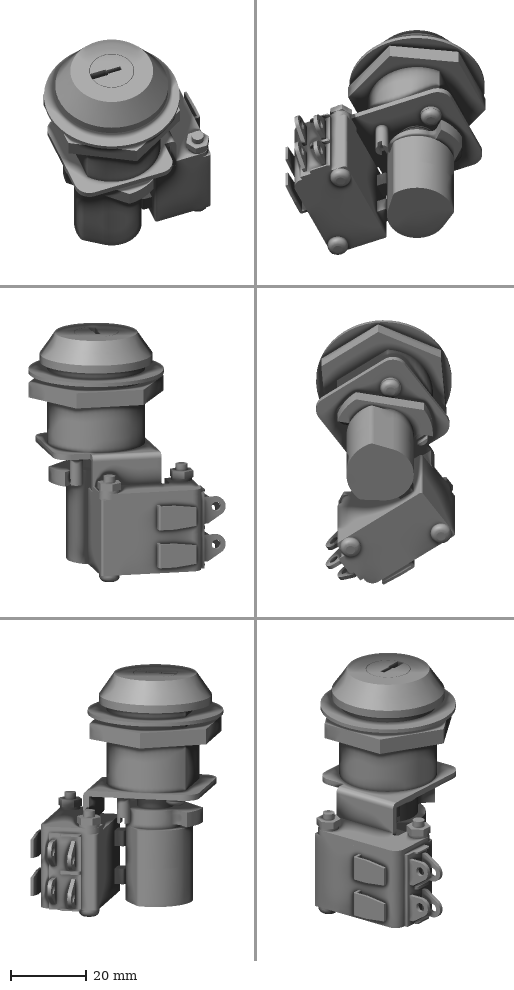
import cadquery as cq
import math


cap_top_z = 62.6
cap_rim_z = 56.8
cap_bottom_z = 54.65
panel_washer_top_z = 52.65
panel_washer_thickness = 1.0
panel_nut_top_z = 49.8
panel_nut_thickness = 4.15
bracket_top_z = 32.6
sheet_thickness = 1.55
bracket_bottom_z = bracket_top_z - sheet_thickness

cap_radius = 15.0
cap_top_radius = 11.0
barrel_radius = 13.0
barrel_flat_offset = 10.1
bore_radius = 5.95

fastener_offset = 7.1
fastener_shank_radius = 1.75
barrel_screw_head_radius = 2.8
barrel_screw_flange_height = 0.75
barrel_screw_dome_radius = 2.7
barrel_screw_dome_height = 1.8
barrel_screw_rounding = 1.45
post_bottom_z = 23.0
post_slit_width = 1.3
post_slit_depth = 1.6

panel_washer_radius = 18.0
panel_nut_corner_radius = 18.4

plug_radius = 5.8
plug_neck_radius = 5.2
plug_tail_radius = 5.0
plug_neck_bottom_z = 30.7
plug_bottom_z = 29.2
driver_radius = 4.9
stop_top_z = 26.6
stop_bottom_z = 22.65
hub_radius = 7.95
stop_arm_radius = 13.0
stop_arm_start = fastener_shank_radius
stop_arm_end = stop_arm_radius / math.sqrt(2)
stop_arm_angle = -45.0
cam_count = 2
cam_height = 10.3
cam_bottom_z = 1.0
cam_top_z = cam_bottom_z + cam_count * cam_height
cam_lobe_radius = 10.0
cam_lobe_angle = 225.0
cam_flank_angle = 98.0
cam_corner_radius = 1.9
key_slot_width = 2.0
key_slot_tip_width = 1.25
key_slot_step_y = -1.4
key_slot_tip_y = 2.6

switch_count = 2
switch_height = 10.3
switch_base_z = 2.05
switch_top_z = switch_base_z + switch_count * switch_height
switch_left_x = -23.0
switch_right_x = 4.8
switch_front_y = 10.65
switch_back_y = 26.55
switch_back_corner_radius = 2.75
switch_front_corner_radius = 1.0
switch_right_corner_radius = 0.6

terminal_block_left_x = -24.0
terminal_block_front_y = 14.85
terminal_block_back_y = 23.5
lip_left_x = -25.05
lip_back_y = 20.5
lip_thickness = 0.45
lip_corner_radius = 0.75

terminal_back_ys = (17.15, 22.6)
terminal_thickness = 1.05
terminal_height = 7.15
terminal_hole_x = -27.5
terminal_hole_radius = 1.25
terminal_end_radius = 2.55
terminal_shoulder_x = -25.15

tab_left_x = -20.55
tab_taper_x = -14.6
tab_right_x = -10.2
tab_back_y = 29.3
tab_thickness = 0.75
tab_bend_radius = 0.6
tab_height = 6.4
tab_end_height = 4.95

plunger_width = 4.2
plunger_tip_y = hub_radius
plunger_tip_rounding = 0.55

switch_screw_points = ((-20.15, 13.45), (2.0, 23.7))
switch_screw_radius = 1.55
switch_screw_top_z = 28.7
switch_screw_head_radius = 2.75
switch_screw_head_rounding = 1.5
switch_nut_flats = 5.65
switch_nut_bottom_z = 25.1
switch_nut_height = 1.9
switch_washer_radius = 2.75

bracket_half_width = 13.95
bracket_front_y = -14.2
bracket_back_y = 16.5
bracket_step_y = 13.15
bracket_corner_radius = 3.95
bend_radius = 1.5
ear_end_x = -16.15
relief_end_y = 17.5
bracket_foot_top_z = switch_top_z + sheet_thickness


def block(x0, x1, y0, y1, z0, z1):
    """Box between two opposite corners."""
    return cq.Workplane("XY").box(x1 - x0, y1 - y0, z1 - z0, centered=False).translate((x0, y0, z0))


def cylinder(radius, z0, z1, x=0.0, y=0.0):
    """Upright cylinder between two heights."""
    return cq.Workplane("XY").circle(radius).extrude(z1 - z0).translate((x, y, z0))


def hexagon(flats, z0, z1):
    """Upright hexagonal prism with two corners on the X axis."""
    return cq.Workplane("XY").polygon(6, flats / math.cos(math.pi / 6)).extrude(z1 - z0).translate((0, 0, z0))


def polar(radius, degrees):
    """Point at a radius and an angle about the lock axis."""
    angle = math.radians(degrees)
    return (radius * math.cos(angle), radius * math.sin(angle))


def flatted_barrel(z0, z1):
    """Round barrel with one flat on its front."""
    flat_waste = block(-barrel_radius, barrel_radius, -barrel_radius, -barrel_flat_offset, z0, z1)
    return cylinder(barrel_radius, z0, z1).cut(flat_waste)


def round_head(radius, z0, z1, rounding):
    """Screw head rounded on its lower edge."""
    return cylinder(radius, z0, z1).faces("<Z").edges().fillet(rounding)


def fastener_points(side):
    """Left and right fastener places, in front of (-1) or behind (+1) the lock axis."""
    return [(-fastener_offset, side * fastener_offset), (fastener_offset, side * fastener_offset)]


def make_housing():
    cap = (
        cq.Workplane("XZ")
        .moveTo(0, cap_bottom_z)
        .lineTo(cap_radius, cap_bottom_z)
        .lineTo(cap_radius, cap_rim_z)
        .lineTo(cap_top_radius, cap_top_z)
        .lineTo(0, cap_top_z)
        .close()
        .revolve(360, (0, 0, 0), (0, 1, 0))
    )
    housing = cap.union(flatted_barrel(bracket_top_z, cap_bottom_z))
    housing = housing.cut(cylinder(bore_radius, bracket_top_z, cap_top_z))

    flange_bottom_z = bracket_bottom_z - barrel_screw_flange_height
    dome_bottom_z = flange_bottom_z - barrel_screw_dome_height
    shank = cylinder(fastener_shank_radius, bracket_bottom_z, bracket_top_z)
    flange = cylinder(barrel_screw_head_radius, flange_bottom_z, bracket_bottom_z)
    dome = round_head(barrel_screw_dome_radius, dome_bottom_z, flange_bottom_z, barrel_screw_rounding)
    screw = shank.union(flange).union(dome)
    for x, y in fastener_points(-1):
        housing = housing.union(screw.translate((x, y, 0)))

    slit = block(
        -fastener_shank_radius, fastener_shank_radius,
        -post_slit_width / 2, post_slit_width / 2,
        post_bottom_z, post_bottom_z + post_slit_depth,
    )
    post = cylinder(fastener_shank_radius, post_bottom_z, bracket_top_z).cut(slit)
    for x, y in fastener_points(1):
        housing = housing.union(post.translate((x, y, 0)))
    return housing


def make_panel_washer():
    bottom_z = panel_washer_top_z - panel_washer_thickness
    disc = cylinder(panel_washer_radius, bottom_z, panel_washer_top_z)
    return disc.cut(flatted_barrel(bottom_z, panel_washer_top_z))


def make_panel_nut():
    bottom_z = panel_nut_top_z - panel_nut_thickness
    flats = 2 * panel_nut_corner_radius * math.cos(math.pi / 6)
    return hexagon(flats, bottom_z, panel_nut_top_z).cut(flatted_barrel(bottom_z, panel_nut_top_z))


def make_plug():
    plug = cylinder(plug_radius, bracket_top_z, cap_top_z)
    plug = plug.union(cylinder(plug_neck_radius, plug_neck_bottom_z, bracket_top_z))
    plug = plug.union(cylinder(plug_tail_radius, plug_bottom_z, plug_neck_bottom_z))
    wide_slot = block(
        -key_slot_width / 2, key_slot_width / 2, -plug_radius, key_slot_step_y, plug_bottom_z, cap_top_z
    )
    narrow_slot = block(
        -key_slot_tip_width / 2, key_slot_tip_width / 2,
        key_slot_step_y, key_slot_tip_y,
        plug_bottom_z, cap_top_z,
    )
    return plug.cut(wide_slot).cut(narrow_slot)


def make_stop_plate():
    """Round hub with a wide arm; a rounded seat joins each side of the arm to the hub."""
    disc = cylinder(stop_arm_radius, stop_bottom_z, stop_top_z)
    arm = disc.intersect(
        block(
            stop_arm_start, stop_arm_end, -stop_arm_radius, stop_arm_radius, stop_bottom_z, stop_top_z
        )
    )
    seat_offset = hub_radius + fastener_shank_radius
    arm_root = block(0, stop_arm_start, -seat_offset, seat_offset, stop_bottom_z, stop_top_z)
    for side in (-1, 1):
        arm_root = arm_root.cut(
            cylinder(fastener_shank_radius, stop_bottom_z, stop_top_z, 0, side * seat_offset)
        )
    arm = arm.union(arm_root).rotate((0, 0, 0), (0, 0, 1), stop_arm_angle)
    return cylinder(hub_radius, cam_top_z, stop_top_z).union(arm)


def make_rotor():
    driver = cylinder(driver_radius, stop_top_z, plug_bottom_z)
    return make_plug().union(driver).union(make_stop_plate())


def make_cam(index):
    flank_span = math.degrees(math.acos(hub_radius / cam_lobe_radius))
    lobe_half_angle = cam_flank_angle - flank_span
    cam = (
        cq.Workplane("XY")
        .moveTo(*polar(cam_lobe_radius, cam_lobe_angle - lobe_half_angle))
        .threePointArc(
            polar(cam_lobe_radius, cam_lobe_angle),
            polar(cam_lobe_radius, cam_lobe_angle + lobe_half_angle),
        )
        .lineTo(*polar(hub_radius, cam_lobe_angle + cam_flank_angle))
        .threePointArc(
            polar(hub_radius, cam_lobe_angle + 180),
            polar(hub_radius, cam_lobe_angle - cam_flank_angle),
        )
        .close()
        .extrude(cam_height)
    )
    lobe_corners = cq.selectors.BoxSelector(
        (-cam_lobe_radius, -cam_lobe_radius, 0),
        (hub_radius / 2, hub_radius / 2, cam_height),
    )
    cam = cam.edges("|Z").edges(lobe_corners).fillet(cam_corner_radius)
    return cam.translate((0, 0, cam_bottom_z + index * cam_height))


def make_switch_screw(x, y):
    screw = cylinder(switch_screw_radius, switch_base_z, switch_screw_top_z)
    screw = screw.union(
        round_head(switch_screw_head_radius, 0, switch_base_z, switch_screw_head_rounding)
    )
    screw = screw.union(cylinder(switch_washer_radius, bracket_foot_top_z, switch_nut_bottom_z))
    nut = hexagon(switch_nut_flats, switch_nut_bottom_z, switch_nut_bottom_z + switch_nut_height)
    screw = screw.union(nut.rotate((0, 0, 0), (0, 0, 1), 90))
    return screw.translate((x, y, 0))


def make_bracket():
    top_sheet = block(
        -bracket_half_width, bracket_half_width,
        bracket_front_y, bracket_back_y,
        bracket_bottom_z, bracket_top_z,
    )
    top_sheet = top_sheet.edges("|Z and <Y").fillet(bracket_corner_radius)
    side_clearance = block(
        switch_right_x, bracket_half_width,
        bracket_step_y, bracket_back_y,
        bracket_bottom_z, bracket_top_z,
    )
    top_sheet = top_sheet.cut(side_clearance)
    top_sheet = top_sheet.edges("|Z and >X").edges(">Y").fillet(bracket_corner_radius)
    top_sheet = top_sheet.faces(">Y").edges(">Z").fillet(bend_radius)

    leg_front_y = bracket_back_y - sheet_thickness
    leg = block(
        -bracket_half_width, switch_right_x, leg_front_y, bracket_back_y, switch_top_z, bracket_bottom_z
    )
    leg = leg.faces("<Y").edges("<Z").fillet(bend_radius)

    foot = block(
        switch_left_x, switch_right_x, bracket_back_y, switch_back_y, switch_top_z, bracket_foot_top_z
    )
    foot = foot.edges("|Z and >Y and <X").fillet(switch_back_corner_radius)
    foot = foot.edges("|Z and >Y and >X").fillet(switch_back_corner_radius)
    ear = block(switch_left_x, ear_end_x, switch_front_y, bracket_back_y, switch_top_z, bracket_foot_top_z)
    ear = ear.edges("|Z and <Y and <X").fillet(switch_back_corner_radius)

    relief_width = -bracket_half_width - ear_end_x
    relief = (
        cq.Workplane("XY")
        .slot2D(2 * (relief_end_y - switch_front_y), relief_width, 90)
        .extrude(sheet_thickness)
        .translate((ear_end_x + relief_width / 2, switch_front_y, switch_top_z))
    )
    bracket = top_sheet.union(leg).union(foot.union(ear).cut(relief))

    for x, y in fastener_points(-1) + fastener_points(1):
        bracket = bracket.cut(cylinder(fastener_shank_radius, bracket_bottom_z, bracket_top_z, x, y))
    bracket = bracket.cut(cylinder(plug_neck_radius, bracket_bottom_z, bracket_top_z))
    for x, y in switch_screw_points:
        bracket = bracket.union(make_switch_screw(x, y))
    return bracket


def make_switch_body():
    half = switch_height / 2
    body = block(switch_left_x, switch_right_x, switch_front_y, switch_back_y, -half, half)
    body = body.edges("|Z and <X and >Y").fillet(switch_back_corner_radius)
    body = body.edges("|Z and <X and <Y").fillet(switch_front_corner_radius)
    body = body.edges("|Z and >X").fillet(switch_right_corner_radius)
    terminal_block = block(
        terminal_block_left_x, switch_left_x, terminal_block_front_y, terminal_block_back_y, -half, half
    )
    body = body.union(terminal_block)
    for lip_bottom in (-half, half - lip_thickness):
        lip = block(
            lip_left_x, terminal_block_left_x,
            terminal_block_front_y, lip_back_y,
            lip_bottom, lip_bottom + lip_thickness,
        )
        body = body.union(lip.edges("|Z and <X").fillet(lip_corner_radius))
    for x, y in switch_screw_points:
        body = body.cut(cylinder(switch_screw_radius, -half, half, x, y))
    return body


def make_terminal(back_y):
    """Solder lug: its round end sits low and a sloping edge rises to the shoulder."""
    half = terminal_height / 2
    end_z = terminal_end_radius - half
    shoulder_dx = terminal_shoulder_x - terminal_hole_x
    shoulder_dz = half - end_z
    reach = math.hypot(shoulder_dx, shoulder_dz)
    tangent_angle = math.atan2(shoulder_dz, shoulder_dx) + math.acos(terminal_end_radius / reach)
    tangent_point = (
        terminal_hole_x + terminal_end_radius * math.cos(tangent_angle),
        end_z + terminal_end_radius * math.sin(tangent_angle),
    )
    return (
        cq.Workplane("XZ")
        .moveTo(terminal_block_left_x, -half)
        .lineTo(terminal_hole_x, -half)
        .threePointArc((terminal_hole_x - terminal_end_radius, end_z), tangent_point)
        .lineTo(terminal_shoulder_x, half)
        .lineTo(terminal_block_left_x, half)
        .close()
        .moveTo(terminal_hole_x, end_z)
        .circle(terminal_hole_radius)
        .extrude(terminal_thickness)
        .translate((0, back_y, 0))
    )


def make_terminals():
    front_back_y, rear_back_y = terminal_back_ys
    front_terminal = make_terminal(front_back_y)
    rear_terminal = make_terminal(rear_back_y).mirror("XY")
    return front_terminal.union(rear_terminal)


def make_tab():
    """Bent tab behind the switch, tapering to its free end."""
    half = tab_height / 2
    end_half = tab_end_height / 2
    blade = (
        cq.Workplane("XZ")
        .polyline([
            (tab_right_x, -half),
            (tab_taper_x, -half),
            (tab_left_x, -end_half),
            (tab_left_x, end_half),
            (tab_taper_x, half),
            (tab_right_x, half),
        ])
        .close()
        .extrude(tab_thickness)
        .translate((0, tab_back_y, 0))
    )
    stem = block(tab_right_x - tab_thickness, tab_right_x, switch_back_y, tab_back_y, -half, half)
    return blade.union(stem).edges("|Z and >X and >Y").fillet(tab_bend_radius)


def make_plunger():
    half = plunger_width / 2
    plunger = block(-half, half, plunger_tip_y, switch_front_y, -half, half)
    return plunger.edges("|Z and <Y").fillet(plunger_tip_rounding)


def make_switch(index):
    middle_z = switch_base_z + (index + 0.5) * switch_height
    switch = make_switch_body().union(make_terminals()).union(make_tab()).union(make_plunger())
    return switch.translate((0, 0, middle_z))


housing = make_housing()
panel_washer = make_panel_washer()
panel_nut = make_panel_nut()
rotor = make_rotor()
bracket = make_bracket()
cams = [make_cam(index) for index in range(cam_count)]
switches = [make_switch(index) for index in range(switch_count)]

bodies = [housing, panel_washer, panel_nut, rotor, bracket, *cams, *switches]
result = cq.Compound.makeCompound([body.val() for body in bodies])